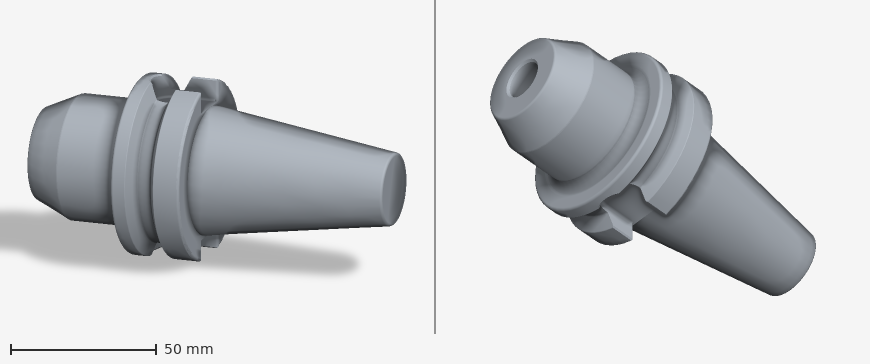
import cadquery as cq
import math

TOTAL_LENGTH = 128.4
GAUGE_LINE = 63.0
FLANGE_FRONT = 36.0
FLANGE_BACK = 61.0
GROOVE_CENTRE = 46.4
NOSE_CONE_END = 12.9
RELIEF_START = 32.25

GAUGE_RADIUS = 44.45 / 2
TAPER_SLOPE = 7 / 24 / 2

NOSE_RADIUS = 16.1
BODY_RADIUS = 44.0 / 2
RELIEF_RADIUS = 43.8 / 2
FLANGE_RADIUS = 63.0 / 2
GROOVE_RADIUS = 53.0 / 2

NECK_FILLET = 3.2
NECK_UNDERCUT = 0.1
NECK_RAMP_WIDTH = 1.0

GROOVE_FLOOR_WIDTH = 4.5
GROOVE_FLANK_ANGLE = 30.0
GROOVE_EDGE_FILLET = 0.5

OUTER_EDGE_FILLET = 1.0

BORE_DIAMETER = 14.0
BORE_DEPTH = 50.0
BORE_CHAMFER = 0.8

SLOT_WIDTH = 16.1
SLOT_END_CENTRE = 48.0
SLOT_FLOOR = 22.55
SLOT_FLOOR_FILLET = 0.9
SLOT_RIM_CHAMFER = 0.6

CUTTER_CLEARANCE = 1.0
TOLERANCE = 0.01


def taper_radius(x):
    return GAUGE_RADIUS + (GAUGE_LINE - x) * TAPER_SLOPE


def make_turned_body():
    """Revolve the half outline, drawn in XY, about the X axis."""
    neck_x = FLANGE_FRONT + NECK_UNDERCUT
    neck_radius = RELIEF_RADIUS + NECK_FILLET
    neck_start = neck_x - NECK_FILLET
    arc_middle = (
        neck_start + NECK_FILLET * math.sin(math.pi / 4),
        neck_radius - NECK_FILLET * math.cos(math.pi / 4),
    )

    outline = (
        cq.Workplane("XY")
        .moveTo(0, 0)
        .lineTo(0, NOSE_RADIUS)
        .lineTo(NOSE_CONE_END, BODY_RADIUS)
        .lineTo(RELIEF_START, BODY_RADIUS)
        .lineTo(neck_start, RELIEF_RADIUS)
        .threePointArc(arc_middle, (neck_x, neck_radius))
        .lineTo(FLANGE_FRONT, neck_radius + NECK_RAMP_WIDTH)
        .lineTo(FLANGE_FRONT, FLANGE_RADIUS)
        .lineTo(FLANGE_BACK, FLANGE_RADIUS)
        .lineTo(FLANGE_BACK, taper_radius(FLANGE_BACK))
        .lineTo(TOTAL_LENGTH, taper_radius(TOTAL_LENGTH))
        .lineTo(TOTAL_LENGTH, 0)
        .close()
    )
    return outline.revolve(360, (0, 0, 0), (1, 0, 0))


def fillet_circles(body, corners, fillet_radius):
    """Round the circular edges found at the given (x, radius) corners."""

    def is_wanted(edge):
        if edge.geomType() != "CIRCLE":
            return False
        x = edge.arcCenter().x
        return any(
            abs(x - corner_x) < TOLERANCE and abs(edge.radius() - corner_radius) < TOLERANCE
            for corner_x, corner_radius in corners
        )

    edges = [edge for edge in body.edges().vals() if is_wanted(edge)]
    return body.newObject(edges).fillet(fillet_radius)


def cut_bore(body):
    bore_radius = BORE_DIAMETER / 2
    bore = cq.Workplane("YZ").circle(bore_radius).extrude(BORE_DEPTH)
    mouth = cq.Solid.makeCone(
        bore_radius + BORE_CHAMFER, bore_radius, BORE_CHAMFER, dir=cq.Vector(1, 0, 0)
    )
    return body.cut(bore).cut(cq.Workplane(mouth))


def make_slot_cutter():
    """Round-ended slot above the axis, open towards the taper."""
    half_width = SLOT_WIDTH / 2
    cutter = (
        cq.Workplane("XY", origin=(0, 0, SLOT_FLOOR))
        .moveTo(TOTAL_LENGTH, -half_width)
        .lineTo(SLOT_END_CENTRE, -half_width)
        .threePointArc((SLOT_END_CENTRE - half_width, 0), (SLOT_END_CENTRE, half_width))
        .lineTo(TOTAL_LENGTH, half_width)
        .close()
        .extrude(FLANGE_RADIUS)
    )
    return cutter.faces("<Z").edges("not >X").fillet(SLOT_FLOOR_FILLET)


def make_slot_mouth_cutter():
    """Rounds the back edges of the slot walls, straight down to the slot floor."""
    half_width = SLOT_WIDTH / 2
    mouth_start = FLANGE_BACK - OUTER_EDGE_FILLET
    arc_x = mouth_start + OUTER_EDGE_FILLET * math.sin(math.pi / 4)
    arc_y = half_width + OUTER_EDGE_FILLET * (1 - math.cos(math.pi / 4))
    mouth_half_width = half_width + OUTER_EDGE_FILLET
    return (
        cq.Workplane("XY", origin=(0, 0, SLOT_FLOOR))
        .moveTo(mouth_start, -half_width)
        .lineTo(mouth_start, half_width)
        .threePointArc((arc_x, arc_y), (FLANGE_BACK, mouth_half_width))
        .lineTo(FLANGE_BACK, -mouth_half_width)
        .threePointArc((arc_x, -arc_y), (mouth_start, -half_width))
        .close()
        .extrude(FLANGE_RADIUS)
    )


def is_slot_rim(edge):
    """True where a slot wall meets the outer diameter of the flange."""
    half_width = SLOT_WIDTH / 2
    middle = edge.positionAt(0.5)
    on_outer_diameter = abs(math.hypot(middle.y, middle.z) - FLANGE_RADIUS) < TOLERANCE
    box = edge.BoundingBox()
    within_slot = max(-box.ymin, box.ymax) < half_width + TOLERANCE
    behind_slot_end = box.xmin > SLOT_END_CENTRE - half_width - TOLERANCE
    return on_outer_diameter and within_slot and behind_slot_end and box.xmax - box.xmin > TOLERANCE


def cut_both_sides(body, cutter):
    """Cut on the +Z side and again, turned half a revolution, on the -Z side."""
    for angle in (0, 180):
        body = body.cut(cutter.rotate((0, 0, 0), (1, 0, 0), angle))
    return body


def cut_drive_slots(body):
    body = cut_both_sides(body, make_slot_cutter())
    rims = [edge for edge in body.edges().vals() if is_slot_rim(edge)]
    return body.newObject(rims).chamfer(SLOT_RIM_CHAMFER)


def groove_half_width(radius):
    flank_slope = math.tan(math.radians(GROOVE_FLANK_ANGLE))
    return GROOVE_FLOOR_WIDTH / 2 + (radius - GROOVE_RADIUS) * flank_slope


def cut_groove(body):
    """Cut the V-groove around the flange and round its lips and floor corners."""
    cutter_radius = FLANGE_RADIUS + CUTTER_CLEARANCE
    outer = groove_half_width(cutter_radius)
    floor = groove_half_width(GROOVE_RADIUS)
    cutter = (
        cq.Workplane("XY")
        .moveTo(GROOVE_CENTRE - outer, cutter_radius)
        .lineTo(GROOVE_CENTRE - floor, GROOVE_RADIUS)
        .lineTo(GROOVE_CENTRE + floor, GROOVE_RADIUS)
        .lineTo(GROOVE_CENTRE + outer, cutter_radius)
        .close()
        .revolve(360, (0, 0, 0), (1, 0, 0))
    )
    corners = [
        (GROOVE_CENTRE + side * groove_half_width(radius), radius)
        for side in (-1, 1)
        for radius in (GROOVE_RADIUS, FLANGE_RADIUS)
    ]
    return fillet_circles(body.cut(cutter), corners, GROOVE_EDGE_FILLET)


def round_outer_edges(body):
    corners = [
        (0, NOSE_RADIUS),
        (NOSE_CONE_END, BODY_RADIUS),
        (FLANGE_FRONT, FLANGE_RADIUS),
        (FLANGE_BACK, FLANGE_RADIUS),
        (TOTAL_LENGTH, taper_radius(TOTAL_LENGTH)),
    ]
    return fillet_circles(body, corners, OUTER_EDGE_FILLET)


body = make_turned_body()
body = cut_drive_slots(body)
body = cut_groove(body)
body = round_outer_edges(body)
body = cut_both_sides(body, make_slot_mouth_cutter())
result = cut_bore(body)